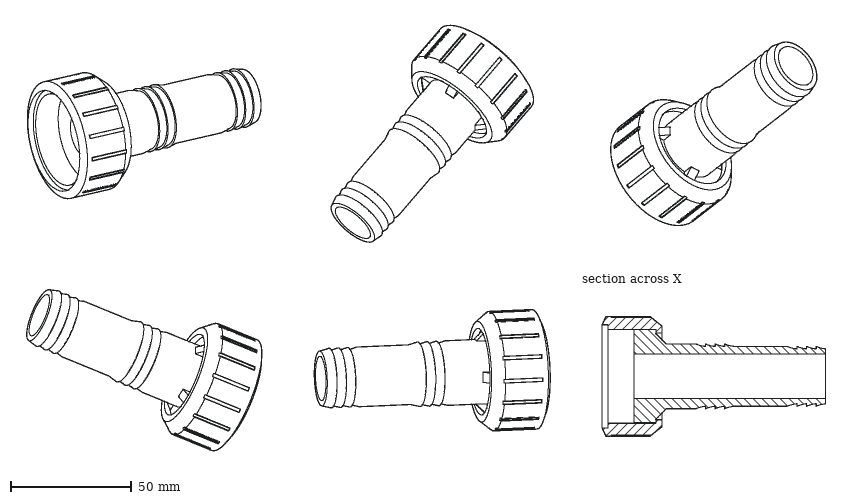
import cadquery as cq

total_length = 93.2

nut_length = 25.1
nut_diameter = 50.0
nut_back_diameter = 42.0
back_cone_start = 20.0
front_chamfer_length = 1.7
mouth_diameter = 42.9
mouth_depth = 2.5
nut_bore_diameter = 39.0
nut_back_hole_diameter = 36.1

groove_count = 16
groove_width = 1.5
groove_depth = 0.5
groove_start = 4.0

bore_diameter = 18.5
flange_diameter = 38.8
flange_face = 13.3
root_diameter = 27.0
shank_diameter = 25.0
barb_pitch = 4.0
barbs_per_group = 4
barb_rise = (root_diameter - shank_diameter) / 2
tip_radius = shank_diameter / 2 - barb_rise
inner_barbs_tip = 55.2

lip_thickness = 2.6
flange_back = nut_length - lip_thickness

gusset_count = 4
gusset_width = 4.3
gusset_top = 26.8
gusset_reach = gusset_top - flange_back


def revolve_about_y(points):
    """Turn a closed (radius, y) outline into a solid around the Y axis."""
    return cq.Workplane("XY").polyline(points).close().revolve(360, (0, 0, 0), (0, 1, 0))


def barb_points(small_radius, group_tip):
    """Saw-tooth outline of one barb group, running from its tip end toward the nut."""
    points = []
    for i in range(barbs_per_group):
        barb_tip = group_tip - i * barb_pitch
        points.append((small_radius, barb_tip))
        points.append((small_radius + barb_rise, barb_tip - barb_pitch))
    return points


def make_groove_cutter(angle):
    """Flat-bottomed slot cutter lying along the nut at the given angle."""
    floor_radius = nut_diameter / 2 - groove_depth
    cutter_height = 2 * groove_depth
    cutter = cq.Workplane("XY").box(
        groove_width, nut_length - groove_start, cutter_height, centered=(True, False, False)
    )
    cutter = cutter.translate((0, groove_start, floor_radius))
    return cutter.rotate((0, 0, 0), (0, 1, 0), angle)


def make_nut():
    """Hollow nut with a stepped mouth, a retaining lip at the back and grip grooves."""
    nut = revolve_about_y([
        (mouth_diameter / 2, 0),
        (nut_diameter / 2, front_chamfer_length),
        (nut_diameter / 2, back_cone_start),
        (nut_back_diameter / 2, nut_length),
        (nut_back_hole_diameter / 2, nut_length),
        (nut_back_hole_diameter / 2, flange_back),
        (nut_bore_diameter / 2, flange_back),
        (nut_bore_diameter / 2, mouth_depth),
        (mouth_diameter / 2, mouth_depth),
    ])
    for i in range(groove_count):
        nut = nut.cut(make_groove_cutter(i * 360 / groove_count))
    return nut


def make_gusset(angle):
    """Sloped web from the tail root down to the back face of the flange."""
    root_radius = root_diameter / 2
    buried_radius = (root_diameter + bore_diameter) / 4
    gusset = (
        cq.Workplane("XY")
        .polyline([
            (buried_radius, flange_back),
            (root_radius + gusset_reach, flange_back),
            (root_radius, gusset_top),
            (buried_radius, gusset_top),
        ])
        .close()
        .extrude(gusset_width / 2, both=True)
    )
    return gusset.rotate((0, 0, 0), (0, 1, 0), angle)


def make_tail():
    """Hose tail with two barb groups, a flange held inside the nut and a through bore."""
    tail = revolve_about_y([
        (bore_diameter / 2, flange_face),
        (bore_diameter / 2, total_length),
        *barb_points(tip_radius, total_length),
        *barb_points(shank_diameter / 2, inner_barbs_tip),
        (root_diameter / 2, flange_back),
        (flange_diameter / 2, flange_back),
        (flange_diameter / 2, flange_face),
    ])
    for i in range(gusset_count):
        tail = tail.union(make_gusset(i * 360 / gusset_count))
    return tail


nut = make_nut()
tail = make_tail()

result = cq.Compound.makeCompound([
    *nut.solids().vals(),
    *tail.solids().vals(),
])